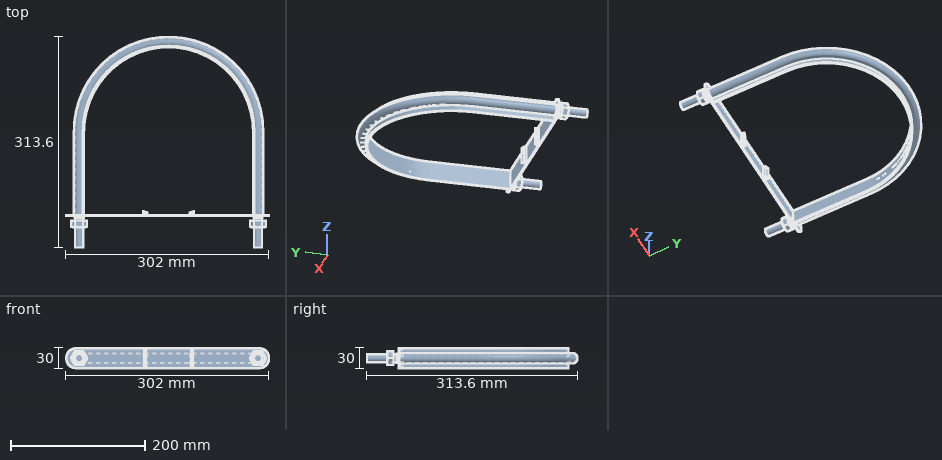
import cadquery as cq
import math

rod_diameter = 12.5
bend_radius = 133.0
leg_end_y = -172.45

cover_bore = 12.8
sleeve_wall = 1.7
sleeve_diameter = cover_bore + 2 * sleeve_wall
liner_width = 30.0
liner_inner_radius = 125.5
liner_thickness = 2.2
cover_end_y = -124.2

spigot_diameter = 13.8
spigot_end_y = -128.3

plate_length = 302.0
plate_width = 30.0
plate_thickness = 1.5
plate_top_y = cover_end_y
plate_bottom_y = plate_top_y - plate_thickness
plate_center_x = -1.3
leg_hole_diameter = 15.0

tab_outer_x = 38.1
tab_width = 6.8
tab_length = 24.0
tab_outer_height = 6.0
tab_inner_height = 3.8
tab_groove_length = 22.5
tab_groove_width = 2.8
tab_groove_offset = 1.7
tab_groove_depth = 4.0

nut_across_flats = 20.8
nut_face_diameter = 19.0
nut_thickness = 10.0
nut_top_y = -132.5
nut_chamfer_angle = math.radians(30)

sides = (-1, 1)


def u_band(inner_radius, outer_radius, end_y, height):
    """Flat U-shaped band, centred on Z = 0, with its leg ends at end_y."""
    return (
        cq.Workplane("XY", origin=(0, 0, -height / 2))
        .moveTo(-outer_radius, end_y)
        .lineTo(-outer_radius, 0)
        .threePointArc((0, outer_radius), (outer_radius, 0))
        .lineTo(outer_radius, end_y)
        .lineTo(inner_radius, end_y)
        .lineTo(inner_radius, 0)
        .threePointArc((0, inner_radius), (-inner_radius, 0))
        .lineTo(-inner_radius, end_y)
        .close()
        .extrude(height)
    )


def u_rod(diameter, end_y):
    """Round bar bent to a U, with its leg ends at end_y."""
    path = (
        cq.Workplane("XY")
        .moveTo(-bend_radius, end_y)
        .lineTo(-bend_radius, 0)
        .threePointArc((0, bend_radius), (bend_radius, 0))
        .lineTo(bend_radius, end_y)
    )
    start = cq.Workplane("XZ", origin=(-bend_radius, end_y, 0))
    return start.circle(diameter / 2).sweep(path)


def make_u_bolt():
    return u_rod(rod_diameter, leg_end_y)


def make_cover():
    liner_outer_radius = liner_inner_radius + liner_thickness
    sleeve_outer_radius = bend_radius + sleeve_diameter / 2
    liner = u_band(liner_inner_radius, liner_outer_radius, cover_end_y, liner_width)
    outside_liner = u_band(liner_outer_radius, sleeve_outer_radius, cover_end_y, liner_width)
    cover = liner.union(u_rod(sleeve_diameter, cover_end_y).intersect(outside_liner))
    for side in sides:
        cover = cover.union(make_spigot(side * bend_radius))
    return cover.cut(u_rod(cover_bore, spigot_end_y))


def make_spigot(x):
    """Solid spigot at one cover end, before the cover is bored."""
    start = cq.Workplane("XZ", origin=(x, cover_end_y, 0))
    return start.circle(spigot_diameter / 2).extrude(cover_end_y - spigot_end_y)


def make_tab(side):
    """Solid wedge of one tab, taller on its outer side."""
    inner_x = tab_outer_x - tab_width
    return (
        cq.Workplane("XY", origin=(0, 0, -tab_length / 2))
        .moveTo(side * tab_outer_x, plate_top_y)
        .lineTo(side * tab_outer_x, plate_top_y + tab_outer_height)
        .lineTo(side * inner_x, plate_top_y + tab_inner_height)
        .lineTo(side * inner_x, plate_top_y)
        .close()
        .extrude(tab_length)
    )


def make_tab_groove(side):
    """Groove up into the tab, with its floor parallel to the sloping top."""
    outer_x = tab_outer_x - tab_groove_offset
    inner_x = outer_x - tab_groove_width
    floor_drop = tab_groove_width * (tab_outer_height - tab_inner_height) / tab_width
    outer_floor_y = plate_bottom_y + tab_groove_depth
    return (
        cq.Workplane("XY", origin=(0, 0, -tab_groove_length / 2))
        .moveTo(side * outer_x, plate_bottom_y)
        .lineTo(side * outer_x, outer_floor_y)
        .lineTo(side * inner_x, outer_floor_y - floor_drop)
        .lineTo(side * inner_x, plate_bottom_y)
        .close()
        .extrude(tab_groove_length)
    )


def make_plate():
    base = cq.Workplane("XZ", origin=(plate_center_x, plate_top_y, 0))
    plate = base.slot2D(plate_length, plate_width).extrude(plate_thickness)
    for side in sides:
        leg_hole = cq.Workplane("XZ", origin=(side * bend_radius, plate_top_y, 0))
        plate = plate.cut(leg_hole.circle(leg_hole_diameter / 2).extrude(plate_thickness))
        plate = plate.union(make_tab(side)).cut(make_tab_groove(side))
    return plate


def make_nut(x):
    corner_radius = nut_across_flats / math.sqrt(3)
    chamfer_width = corner_radius - nut_face_diameter / 2
    chamfer_height = chamfer_width * math.tan(nut_chamfer_angle)
    start = cq.Workplane("XZ", origin=(x, nut_top_y, 0))
    blank = start.polygon(6, 2 * corner_radius).extrude(nut_thickness)
    turned = (
        start.circle(corner_radius)
        .extrude(nut_thickness)
        .faces("<Y")
        .chamfer(chamfer_height, chamfer_width)
    )
    bore = start.circle(rod_diameter / 2).extrude(nut_thickness)
    return blank.intersect(turned).cut(bore)


u_bolt = make_u_bolt()
cover = make_cover()
plate = make_plate()
nuts = [make_nut(side * bend_radius) for side in sides]

result = cq.Compound.makeCompound(
    [u_bolt.val(), cover.val(), plate.val(), *[nut.val() for nut in nuts]]
)